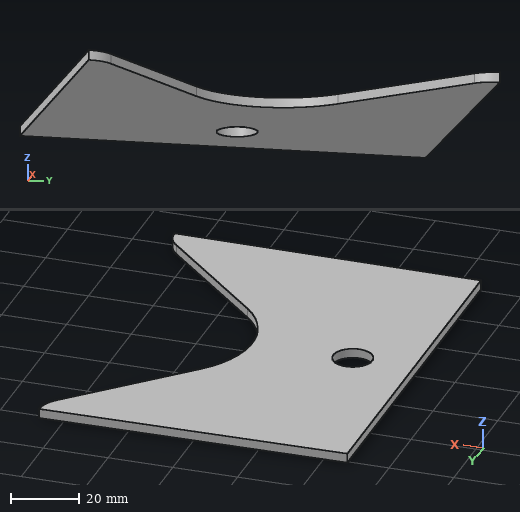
import cadquery as cq
import math

length = 95.0
wide_end_width = 123.38
side_taper_angle = 0.5
thickness = 3.0

notch_bottom_x = 50.0
notch_radius = 30.0
notch_half_angle = 45.0
tip_radius = 10.0

hole_diameter = 12.0
hole_x = 19.0

wide_half = wide_end_width / 2
narrow_half = wide_half - length * math.tan(math.radians(side_taper_angle))


def make_plate():
    """Tapered plate with its narrow end on the plane X = 0."""
    return (
        cq.Workplane("XY")
        .polyline([
            (0, -narrow_half),
            (length, -wide_half),
            (length, wide_half),
            (0, narrow_half),
        ])
        .close()
        .extrude(thickness)
    )


def make_notch():
    """Cutter whose straight flanks run tangent to the bottom arc and round off at the tips."""
    flank = math.radians(notch_half_angle)
    arc_center_x = notch_bottom_x + notch_radius
    flank_start_x = arc_center_x - notch_radius * math.sin(flank)
    flank_start_y = notch_radius * math.cos(flank)

    corner_y = flank_start_y + (length - flank_start_x) * math.tan(flank)
    tip_center_x = length - tip_radius
    tip_center_y = corner_y + tip_radius * math.tan((math.pi / 2 - flank) / 2)
    flank_end_x = tip_center_x + tip_radius * math.cos(flank)
    flank_end_y = tip_center_y - tip_radius * math.sin(flank)
    tip_mid_x = tip_center_x + tip_radius * math.cos(flank / 2)
    tip_mid_y = tip_center_y - tip_radius * math.sin(flank / 2)

    return (
        cq.Workplane("XY")
        .moveTo(length, -tip_center_y)
        .threePointArc((tip_mid_x, -tip_mid_y), (flank_end_x, -flank_end_y))
        .lineTo(flank_start_x, -flank_start_y)
        .threePointArc((notch_bottom_x, 0), (flank_start_x, flank_start_y))
        .lineTo(flank_end_x, flank_end_y)
        .threePointArc((tip_mid_x, tip_mid_y), (length, tip_center_y))
        .close()
        .extrude(thickness)
    )


def make_hole():
    """Cylinder that cuts the through hole."""
    return cq.Workplane("XY").center(hole_x, 0).circle(hole_diameter / 2).extrude(thickness)


result = make_plate().cut(make_notch()).cut(make_hole())